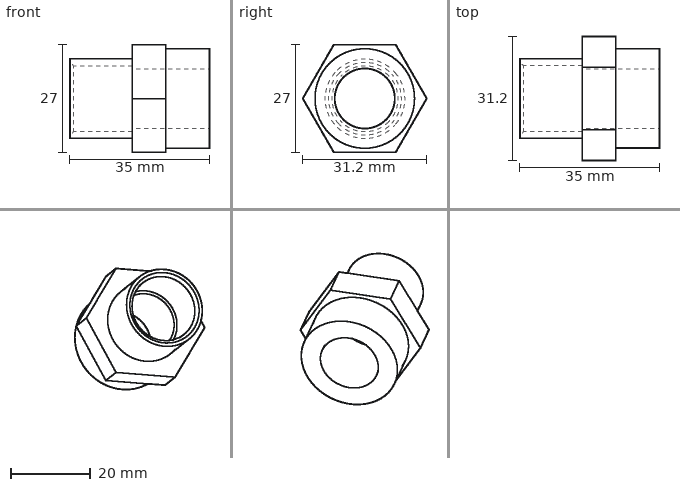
import cadquery as cq
import math

total_length = 35.0
spigot_length = 15.6
hex_length = 8.45
collar_length = total_length - spigot_length - hex_length

spigot_diameter = 20.0
collar_diameter = 25.0
hex_across_flats = 27.0
hex_across_corners = hex_across_flats / math.cos(math.pi / 6)

wide_bore_diameter = 16.55
narrow_bore_diameter = 15.0
mouth_chamfer = 0.85

spigot_start = -total_length / 2
hex_start = spigot_start + spigot_length
collar_start = hex_start + hex_length


def section_plane(x):
    """Plane normal to X; its local x axis is the part's Y axis."""
    return cq.Workplane("YZ", origin=(x, 0, 0))


def cylinder(x, diameter, length):
    return section_plane(x).circle(diameter / 2).extrude(length)


spigot = cylinder(spigot_start, spigot_diameter, spigot_length)
hexagon = section_plane(hex_start).polygon(6, hex_across_corners).extrude(hex_length)
collar = cylinder(collar_start, collar_diameter, collar_length)
body = spigot.union(hexagon).union(collar)

wide_bore = cylinder(spigot_start, wide_bore_diameter, spigot_length)
narrow_bore = cylinder(spigot_start, narrow_bore_diameter, total_length)
bored = body.cut(wide_bore).cut(narrow_bore)

mouth_edge = cq.selectors.RadiusNthSelector(0)
result = bored.faces("<X").edges(mouth_edge).chamfer(mouth_chamfer)